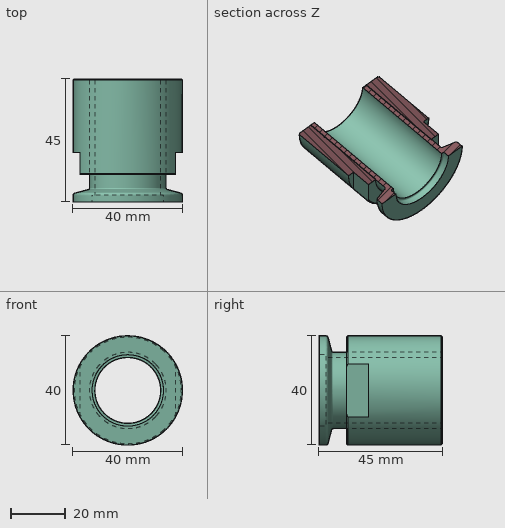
import cadquery as cq
import math

total_length = 45.0
outer_diameter = 40.0
outer_radius = outer_diameter / 2

neck_radius = 28.0 / 2
bore_radius = 24.0 / 2
flange_cone_start = 3.1
flange_cone_angle = 15.0
rim_fillet = 1.0
neck_fillet = 0.5
recess_radius = 26.1 / 2
recess_depth = 2.5
recess_fillet = 0.4

sleeve_start = 10.0
sleeve_chamfer = 0.5
flat_spacing = 35.0
flat_length = 8.0


def cylinder(radius, start, length):
    """Cylinder along +Y from Y = start."""
    return cq.Workplane(cq.Solid.makeCylinder(radius, length, cq.Vector(0, start, 0), cq.Vector(0, 1, 0)))


def make_flanged_tube():
    """Tube with a conical-backed clamping flange and a recess in its face."""
    cone_rise = (outer_radius - neck_radius) * math.tan(math.radians(flange_cone_angle))
    cone_end = flange_cone_start + cone_rise
    tube = (
        cq.Workplane("XY")
        .moveTo(0, 0)
        .lineTo(outer_radius, 0)
        .lineTo(outer_radius, flange_cone_start)
        .lineTo(neck_radius, cone_end)
        .lineTo(neck_radius, total_length)
        .lineTo(0, total_length)
        .close()
        .revolve(360, (0, 0, 0), (0, 1, 0))
    )
    rim_edge = cq.selectors.RadiusNthSelector(-1)
    tube = tube.edges(rim_edge).edges(">Y").fillet(rim_fillet)
    neck_edge = cq.selectors.BoxSelector(
        (-outer_radius, cone_end - neck_fillet / 2, -outer_radius),
        (outer_radius, cone_end + neck_fillet / 2, outer_radius),
    )
    tube = tube.edges(neck_edge).edges("%CIRCLE").fillet(neck_fillet)
    recess = cylinder(recess_radius, 0, recess_depth).faces(">Y").edges().fillet(recess_fillet)
    return tube.cut(recess).cut(cylinder(bore_radius, 0, total_length))


def make_sleeve():
    """Chamfered sleeve that fits over the tube, with two wrench flats at its flange end."""
    sleeve_length = total_length - sleeve_start
    sleeve = cylinder(outer_radius, sleeve_start, sleeve_length)
    sleeve = sleeve.faces("<Y or >Y").edges().chamfer(sleeve_chamfer)
    flat_cut_depth = outer_radius - flat_spacing / 2
    for side in (-1, 1):
        flat_cut = cq.Workplane("XY").box(flat_cut_depth, flat_length, outer_diameter)
        flat_center_x = side * (flat_spacing + flat_cut_depth) / 2
        sleeve = sleeve.cut(flat_cut.translate((flat_center_x, sleeve_start + flat_length / 2, 0)))
    return sleeve.cut(cylinder(neck_radius, sleeve_start, sleeve_length))


flanged_tube = make_flanged_tube()
sleeve = make_sleeve()

result = cq.Compound.makeCompound([flanged_tube.val(), sleeve.val()])